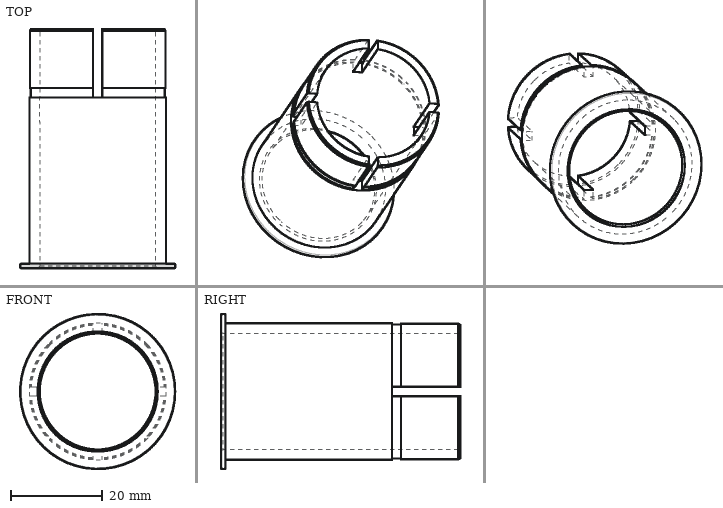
import cadquery as cq

length = 52.5
flange_diameter = 34.0
flange_thickness = 1.0
flange_edge_round = 0.25
body_diameter = 30.05
bore_diameter = 25.4
bore_chamfer = 0.45

head_diameter = 29.8
neck_diameter = 29.5
neck_length = 2.0
slot_depth = 15.0
slot_width = 2.0
lead_in_length = 0.5
lead_in_inset = 0.3

body_end = length - slot_depth
neck_end = body_end + neck_length


def sleeve():
    """Revolve the half section of the flanged sleeve about the Y axis."""
    bore_radius = bore_diameter / 2
    flange_radius = flange_diameter / 2
    body_radius = body_diameter / 2
    neck_radius = neck_diameter / 2
    head_radius = head_diameter / 2
    section = (
        cq.Workplane("XY")
        .moveTo(bore_radius + bore_chamfer, 0)
        .lineTo(flange_radius - flange_edge_round, 0)
        .radiusArc((flange_radius, flange_edge_round), -flange_edge_round)
        .lineTo(flange_radius, flange_thickness - flange_edge_round)
        .radiusArc((flange_radius - flange_edge_round, flange_thickness), -flange_edge_round)
        .lineTo(body_radius, flange_thickness)
        .lineTo(body_radius, body_end)
        .lineTo(neck_radius, body_end)
        .lineTo(neck_radius, neck_end)
        .lineTo(head_radius, neck_end)
        .lineTo(head_radius, length - lead_in_length)
        .lineTo(head_radius - lead_in_inset, length)
        .lineTo(bore_radius, length)
        .lineTo(bore_radius, bore_chamfer)
        .close()
    )
    return section.revolve(360, (0, 0, 0), (0, 1, 0))


def cross_slots():
    """Two perpendicular slots that split the head into four fingers."""
    slot_center_y = length - slot_depth / 2
    across_x = cq.Workplane("XY").box(flange_diameter, slot_depth, slot_width)
    across_z = cq.Workplane("XY").box(slot_width, slot_depth, flange_diameter)
    return across_x.union(across_z).translate((0, slot_center_y, 0))


result = sleeve().cut(cross_slots())